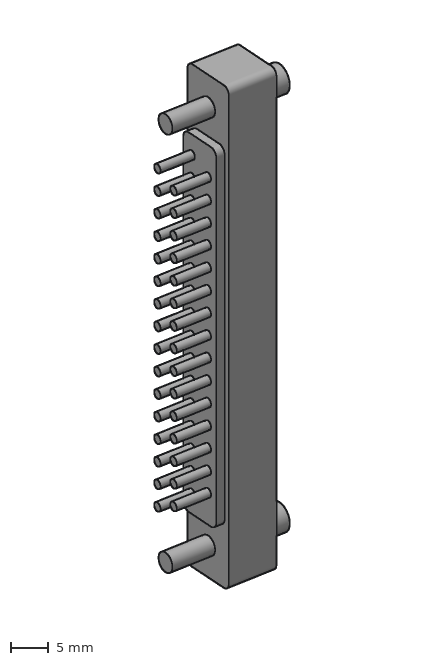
import cadquery as cq

body_width = 9.0
body_depth = 8.0
body_height = 78.0
body_corner_radius = 1.1

pad_width = 7.2
pad_thickness = 1.4
pad_height = 58.9
pad_corner_radius = 1.2

pin_diameter = 1.4
long_row_span = 52.5
row_spacing = 3.5
long_row_count = 16
short_row_count = long_row_count - 1
pin_pitch = long_row_span / (long_row_count - 1)

screw_spacing = 68.0
shank_diameter = 3.05
head_diameter = 4.5
head_length = 4.0
total_depth = 19.2
front_reach = total_depth - head_length - body_depth


def rounded_block(width, height, corner_radius, y_front, y_back):
    """Block between two Y positions with its four Y-direction edges rounded."""
    block = cq.Workplane("XZ", origin=(0, y_back, 0)).rect(width, height).extrude(y_back - y_front)
    return block.edges("|Y").fillet(corner_radius)


def rods(centers, diameter, y_front, y_back):
    """Round rods along Y at the given (X, Z) centers."""
    plane = cq.Workplane("XZ", origin=(0, y_back, 0))
    return plane.pushPoints(centers).circle(diameter / 2).extrude(y_back - y_front)


def row_centers(x, count):
    """Evenly pitched (X, Z) centers of one pin row, symmetric about Z = 0."""
    lowest = -pin_pitch * (count - 1) / 2
    return [(x, lowest + pin_pitch * i) for i in range(count)]


body = rounded_block(body_width, body_height, body_corner_radius, 0, body_depth)
pad = rounded_block(pad_width, pad_height, pad_corner_radius, -pad_thickness, 0)

pin_centers = row_centers(-row_spacing / 2, long_row_count) + row_centers(row_spacing / 2, short_row_count)
pins = rods(pin_centers, pin_diameter, -front_reach, 0)

screw_centers = [(0, -screw_spacing / 2), (0, screw_spacing / 2)]
shanks = rods(screw_centers, shank_diameter, -front_reach, 0)
heads = rods(screw_centers, head_diameter, body_depth, body_depth + head_length)

result = body.union(pad).union(pins).union(shanks).union(heads)